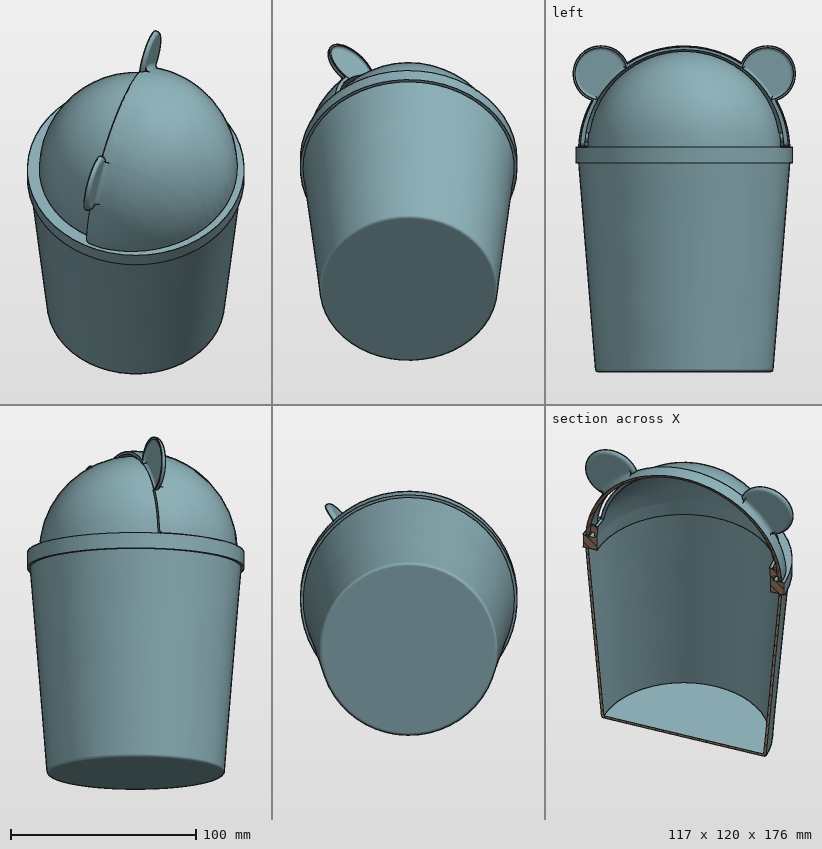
import cadquery as cq
TOTAL_HEIGHT = 176.0
WIDTH_OVER_EARS = 120.0
BIG = 2 * TOTAL_HEIGHT

WALL = 1.8

BUCKET_BASE_RADIUS = 47.9
BUCKET_TOP_RADIUS = 57.0
BUCKET_BASE_FILLET = 1.5

RIM_BOTTOM = 112.8
RIM_TOP = 121.2
RIM_RADIUS = 117.0 / 2
DOME_RADIUS = 52.0
OPENING_FRONT = -7.0
OPENING_SILL = RIM_TOP + 8.0

PIN_RADIUS = 2.5
PIN_HEIGHT = 126.5

FLAP_RADIUS = 54.7
FLAP_HALF_WIDTH = 57.0
FLAP_INNER_RADIUS = 53.3
FLAP_INNER_HALF_WIDTH = 54.5
FLAP_FRONT = -8.6
FLAP_BOTTOM = RIM_TOP + 0.5
FLAP_CORNER_RADIUS = 2.1

SIDES = (-1, 1)
EAR_RADIUS = 15.1
EAR_THICKNESS = 2.6
EAR_CENTRE_Y = WIDTH_OVER_EARS / 2 - EAR_RADIUS
EAR_CENTRE_Z = TOTAL_HEIGHT - EAR_RADIUS
EAR_BACK = FLAP_FRONT + EAR_THICKNESS
EAR_RIM_WIDTH = 1.0
EAR_DISH_DEPTH = 2.0
EAR_DISH_FILLET = 1.8
EAR_BACK_FILLET = 2.1
EAR_ROOT_FILLET = 2.1


def space_above(height):
    return cq.Workplane("XY", origin=(0, 0, height)).rect(BIG, BIG).extrude(BIG)


def make_bucket():
    outer = (
        cq.Workplane("XZ")
        .polyline([(0, 0), (-BUCKET_BASE_RADIUS, 0), (-BUCKET_TOP_RADIUS, RIM_BOTTOM), (0, RIM_BOTTOM)])
        .close()
        .revolve(360, (0, 0), (0, 1))
        .faces("<Z")
        .edges()
        .fillet(BUCKET_BASE_FILLET)
    )
    return outer.faces(">Z").shell(-WALL)


def make_lid():
    cavity_radius = DOME_RADIUS - WALL
    rim = (
        cq.Workplane("XY", origin=(0, 0, RIM_BOTTOM))
        .circle(RIM_RADIUS)
        .circle(cavity_radius)
        .extrude(RIM_TOP - RIM_BOTTOM)
    )
    ball = cq.Workplane("XY", origin=(0, 0, RIM_TOP)).sphere(DOME_RADIUS)
    cavity = cq.Workplane("XY", origin=(0, 0, RIM_TOP)).sphere(cavity_radius)
    opening = cq.Workplane("XY").box(BIG, BIG, BIG, centered=(False, True, False))
    opening = opening.translate((OPENING_FRONT, 0, OPENING_SILL))
    dome = ball.intersect(space_above(RIM_TOP)).cut(opening)
    return rim.union(dome).union(make_pins()).cut(cavity)


def make_pins():
    """One bar across the lid, ending on the inside of the flap; the lid cavity splits it into two pins."""
    bar = cq.Workplane("XZ", origin=(0, 0, PIN_HEIGHT)).circle(PIN_RADIUS).extrude(BIG, both=True)
    return bar.intersect(flap_inner())


def turned_form(radius, half_width):
    """Solid turned about the flap's Y axis, with a single arc as its profile."""
    return (
        cq.Workplane("XY", origin=(0, 0, RIM_TOP))
        .moveTo(0, -half_width)
        .threePointArc((radius, 0), (0, half_width))
        .close()
        .revolve(360, (0, 0), (0, 1))
    )


def flap_outer():
    return turned_form(FLAP_RADIUS, FLAP_HALF_WIDTH)


def flap_inner():
    return turned_form(FLAP_INNER_RADIUS, FLAP_INNER_HALF_WIDTH)


def ear_disc(side, radius, depth):
    centre = (FLAP_FRONT, side * EAR_CENTRE_Y, EAR_CENTRE_Z)
    return cq.Workplane("YZ", origin=centre).circle(radius).extrude(depth)


def ear_root_edges(flap):
    """Edges where the backs of the ears meet the flap."""
    tolerance = 0.02
    slab = cq.selectors.BoxSelector(
        (EAR_BACK - tolerance, -BIG, 0), (EAR_BACK + tolerance, BIG, BIG), boundingbox=True
    )
    return flap.edges(slab).edges("not %CIRCLE")


def ear_body(side):
    return ear_disc(side, EAR_RADIUS, EAR_THICKNESS).faces(">X").edges().fillet(EAR_BACK_FILLET)


def ear_dish(side):
    dish = ear_disc(side, EAR_RADIUS - EAR_RIM_WIDTH, EAR_DISH_DEPTH)
    dish = dish.cut(flap_inner())
    return dish.faces(">X").edges().fillet(EAR_DISH_FILLET)


def make_flap():
    window = (
        cq.Workplane("XY")
        .box(BIG, BIG, BIG, centered=(False, True, False))
        .translate((FLAP_FRONT, 0, FLAP_BOTTOM))
        .edges("|Y and <X and <Z")
        .fillet(FLAP_CORNER_RADIUS)
    )
    flap = flap_outer().intersect(window)
    for side in SIDES:
        flap = flap.union(ear_disc(side, EAR_RADIUS - EAR_BACK_FILLET, EAR_THICKNESS))
    flap = ear_root_edges(flap).fillet(EAR_ROOT_FILLET)
    for side in SIDES:
        flap = flap.union(ear_body(side))
    flap = flap.cut(flap_inner())
    for side in SIDES:
        flap = flap.cut(ear_dish(side))
    return flap


bucket = make_bucket()
lid = make_lid()
flap = make_flap()
result = cq.Compound.makeCompound([bucket.val(), lid.val(), flap.val()])